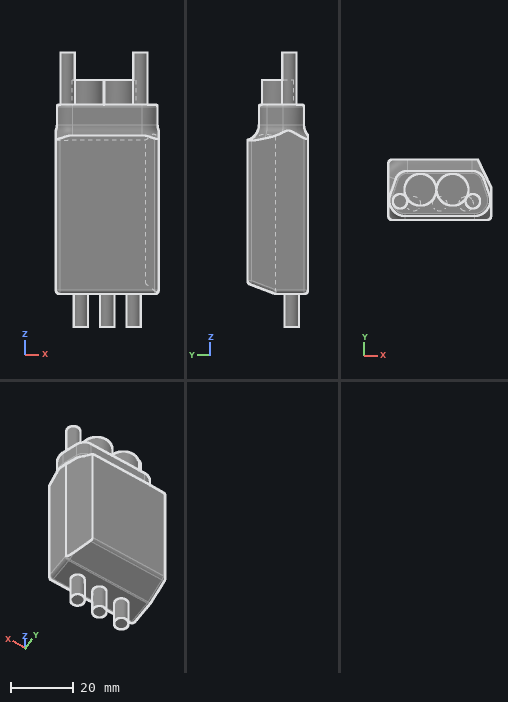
import cadquery as cq

body_width = 33.0
body_depth = 19.45
half_width = body_width / 2
half_depth = body_depth / 2
housing_height = 60.7
edge_radius = 1.3

bevel_start_y = 0.7
bevel_height = 3.4

corner_cut_width = 4.3
corner_cut_depth = 9.0

neck_front_y = -8.45
neck_back_y = 6.1
neck_front_half_width = 18.2
neck_back_half_width = 13.2
neck_front_radius = 5.1
neck_back_radius = 4.0
neck_top_radius = 0.8
neck_straight_height = 6.5
flare_radius = 5.0
flare_top_z = housing_height - neck_straight_height
flare_base_z = flare_top_z - flare_radius

stub_diameter = 10.2
stub_gap = 0.1
stub_height = 7.9
wire_center_x = -1.05

pin_diameter = 4.7
top_pin_pitch = 23.3
top_pin_y = -3.7
top_pin_length = 16.7
bottom_pin_pitch = 8.45
bottom_pin_y = -4.5
bottom_pin_length = 10.6


def make_body():
    """Rounded block with the bevelled back and the cut corner."""
    body = (
        cq.Workplane("YZ")
        .moveTo(-half_depth, 0)
        .lineTo(bevel_start_y, 0)
        .lineTo(half_depth, bevel_height)
        .lineTo(half_depth, housing_height)
        .lineTo(-half_depth, housing_height)
        .close()
        .extrude(half_width, both=True)
    )
    body = body.faces("not >Z").edges("not >Z").fillet(edge_radius)
    corner = (
        cq.Workplane("XY")
        .moveTo(half_width - corner_cut_width, half_depth)
        .lineTo(half_width, half_depth)
        .lineTo(half_width, half_depth - corner_cut_depth)
        .close()
        .extrude(housing_height)
    )
    return body.cut(corner)


def make_neck_envelope():
    """Neck that flares out onto a slab wider than the body, to trim the body's top."""
    slab = cq.Workplane("XY").box(
        2 * body_width, 2 * body_width, flare_base_z, centered=(True, True, False)
    )
    neck = (
        cq.Workplane("XY")
        .polyline([
            (-neck_front_half_width, neck_front_y),
            (neck_front_half_width, neck_front_y),
            (neck_back_half_width, neck_back_y),
            (-neck_back_half_width, neck_back_y),
        ])
        .close()
        .extrude(housing_height)
        .edges("|Z and <Y").fillet(neck_front_radius)
        .edges("|Z and >Y").fillet(neck_back_radius)
        .faces(">Z").edges().fillet(neck_top_radius)
    )
    base_edges = cq.selectors.BoxSelector(
        (-half_width, -half_depth, flare_base_z - flare_radius / 2),
        (half_width, half_depth, flare_base_z + flare_radius / 2),
    )
    return slab.union(neck).edges(base_edges).edges("#Z").fillet(flare_radius)


def make_housing():
    """Body trimmed to the flared neck, with the two stubs on top."""
    stub_pitch = stub_diameter + stub_gap
    stubs = (
        cq.Workplane("XY", origin=(wire_center_x, 0, housing_height))
        .pushPoints([(-stub_pitch / 2, 0), (stub_pitch / 2, 0)])
        .circle(stub_diameter / 2)
        .extrude(stub_height)
    )
    return make_body().intersect(make_neck_envelope()).union(stubs)


def make_pin(x, y, base_z, length):
    """Upright round pin."""
    return cq.Workplane("XY", origin=(x, y, base_z)).circle(pin_diameter / 2).extrude(length)


housing = make_housing()
top_pins = [
    make_pin(wire_center_x + side * top_pin_pitch / 2, top_pin_y, housing_height, top_pin_length)
    for side in (-1, 1)
]
bottom_pins = [
    make_pin(step * bottom_pin_pitch, bottom_pin_y, -bottom_pin_length, bottom_pin_length)
    for step in (-1, 0, 1)
]

result = cq.Compound.makeCompound([housing.val(), *[pin.val() for pin in top_pins + bottom_pins]])